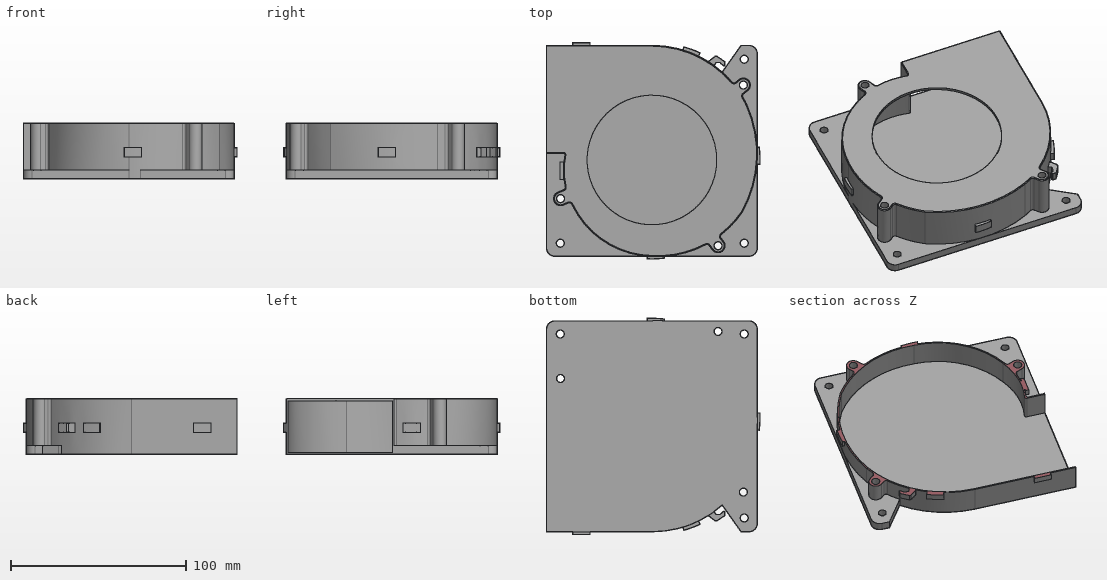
import cadquery as cq
import math


frame_size = 120.5
half_frame = frame_size / 2
height = 32.0
plate_thickness = 5.0
corner_radius = 5.0

side_wall = 1.1
roof_thickness = 1.5
floor_thickness = 1.0
roof_edge_chamfer = 0.5
notch_fillet = 1.0
duct_bottom_y = -1.4

inlet_radius = 37.0
inlet_y = -5.2

spiral_radius = {
    30: 62.7,
    0: 60.15,
    -30: 59.6,
    -60: 57.1,
    -90: half_frame + inlet_y,
    -120: 54.0,
    -150: 52.3,
    -173: 50.9,
}
notch_x = -49.4

mount_pitch = 105.0
mount_centre = (0.2, -0.2)
hole_diameter = 4.4
boss_radius = 4.0
boss_fillet = 1.5
neck_edge_tolerance = 0.05
neck_edge_reach = 3 * boss_radius
boss_centres = [(52.2, 37.55), (-52.15, -27.3), (37.75, -54.15)]

ear_top_x = 50.9
ear_side_point = (41.6, 47.1)
ear_root_point = (40.1, 45.0)

clip_length = 10.0
clip_height = 5.2
clip_bottom = 12.6
clip_root_depth = 2.2
top_clip_x = -40.3
top_clip_protrusion = 1.52
notch_clip_y = -11.4
notch_clip_reach = 52.6
right_clip_reach = 61.79
bottom_clip_reach = 61.77
scroll_clips = [
    (70.0, 67.1),
    (2.3, right_clip_reach),
    (-87.7, bottom_clip_reach + inlet_y),
]
hook_outline = [
    (32.2, 51.0),
    (36.1, 54.0),
    (37.1, 54.0),
    (41.7, 50.9),
    (41.7, 48.8),
    (41.1, 48.3),
    (38.8, 50.3),
    (36.6, 50.3),
    (35.5, 48.5),
    (34.5, 48.5),
]


def inlet_polar(radius, angle):
    """Point at a radius and angle (degrees) about the inlet centre."""
    turn = math.radians(angle)
    return (radius * math.cos(turn), inlet_y + radius * math.sin(turn))


def spiral_point(angle):
    """Point on the outer spiral at one of its listed angles."""
    return inlet_polar(spiral_radius[angle], angle)


def scroll_outline():
    """Outer outline of the duct and spiral, without the screw bosses."""
    join = spiral_point(30)
    half_turn = math.atan2(join[0], join[1]) / 2
    top_arc_middle = (half_frame * math.sin(half_turn), half_frame * math.cos(half_turn))
    return (
        cq.Workplane("XY")
        .moveTo(-half_frame, duct_bottom_y)
        .lineTo(-half_frame, half_frame)
        .lineTo(0, half_frame)
        .threePointArc(top_arc_middle, join)
        .threePointArc(spiral_point(0), spiral_point(-30))
        .threePointArc(spiral_point(-60), spiral_point(-90))
        .threePointArc(spiral_point(-120), spiral_point(-150))
        .threePointArc(spiral_point(-173), (notch_x, duct_bottom_y))
        .close()
    )


def boss(centre):
    """Round screw boss with a neck of the same width running in toward the inlet centre."""
    x, y = centre
    distance = math.hypot(x, y - inlet_y)
    neck_length = distance - inlet_radius - boss_radius
    toward_inlet = math.degrees(math.atan2(inlet_y - y, -x))
    neck = (
        cq.Workplane("XY")
        .rect(neck_length, 2 * boss_radius)
        .extrude(height)
        .translate((neck_length / 2, 0, 0))
    )
    post = cq.Workplane("XY").circle(boss_radius).extrude(height)
    return post.union(neck).rotate((0, 0, 0), (0, 0, 1), toward_inlet).translate((x, y, 0))


def boss_root_edges(body):
    """Vertical edges where the boss necks run into the scroll wall."""
    def is_root(edge):
        point = edge.Center()
        for x, y in boss_centres:
            along = math.hypot(x, y - inlet_y)
            ux, uy = x / along, (y - inlet_y) / along
            side = abs((point.x - x) * uy - (point.y - y) * ux)
            inward = (x - point.x) * ux + (y - point.y) * uy
            on_flank = abs(side - boss_radius) < neck_edge_tolerance
            if on_flank and neck_edge_tolerance < inward < neck_edge_reach:
                return True
        return False

    return body.edges("|Z").filter(is_root)


def solid_scroll():
    """Scroll and bosses as one block, with filleted corners and a chamfered roof edge."""
    block = scroll_outline().extrude(height)
    for centre in boss_centres:
        block = block.union(boss(centre))
    block = boss_root_edges(block).fillet(boss_fillet)
    notch_corner = (notch_x, duct_bottom_y, height / 2)
    nearest_notch = cq.selectors.NearestToPointSelector(notch_corner)
    block = block.edges("|Z").edges(nearest_notch).fillet(notch_fillet)
    return block.faces(">Z").edges("not(<X)").chamfer(roof_edge_chamfer)


def mounting_plate():
    """Square base plate, without the corner under the duct and trimmed to an ear beside the hook."""
    plate = (
        cq.Workplane("XY")
        .polyline([
            (-half_frame, -half_frame),
            (half_frame, -half_frame),
            (half_frame, half_frame),
            (ear_top_x, half_frame),
            ear_side_point,
            ear_root_point,
            (0, 0),
            (-half_frame, 0),
        ])
        .close()
        .extrude(plate_thickness)
    )
    lower_left = cq.selectors.NearestToPointSelector((-half_frame, -half_frame, plate_thickness / 2))
    plate = plate.edges("|Z and >X").fillet(corner_radius)
    return plate.edges("|Z").edges(lower_left).fillet(corner_radius)


def air_passage():
    """Inside of the scroll and duct, open at the duct end, plus the round inlet."""
    depth = height - floor_thickness - roof_thickness
    inside = scroll_outline().offset2D(-side_wall).extrude(depth)
    duct_end = (
        cq.Workplane("XY")
        .box(2 * side_wall, half_frame - duct_bottom_y - 2 * side_wall, depth, centered=False)
        .translate((-half_frame, duct_bottom_y + side_wall, 0))
    )
    inlet = cq.Workplane("XY").center(0, inlet_y).circle(inlet_radius).extrude(height - floor_thickness)
    return inside.union(duct_end).union(inlet).translate((0, 0, floor_thickness))


def scroll_clip(middle_angle, outer_radius):
    """Curved tab on the scroll wall."""
    half_angle = math.degrees(clip_length / 2 / outer_radius)
    start = middle_angle - half_angle
    end = middle_angle + half_angle
    inner_radius = outer_radius - clip_root_depth
    return (
        cq.Workplane("XY", origin=(0, 0, clip_bottom))
        .moveTo(*inlet_polar(inner_radius, start))
        .lineTo(*inlet_polar(outer_radius, start))
        .threePointArc(inlet_polar(outer_radius, middle_angle), inlet_polar(outer_radius, end))
        .lineTo(*inlet_polar(inner_radius, end))
        .close()
        .extrude(clip_height)
    )


def clips():
    """All cable clips: straight tabs on the duct and in the notch, curved tabs and the hook."""
    top_clip = (
        cq.Workplane("XY", origin=(top_clip_x, half_frame, clip_bottom))
        .rect(clip_length, 2 * top_clip_protrusion)
        .extrude(clip_height)
    )
    notch_clip = (
        cq.Workplane("XY", origin=(clip_root_depth / 2 - notch_clip_reach, notch_clip_y, clip_bottom))
        .rect(clip_root_depth, clip_length)
        .extrude(clip_height)
    )
    hook = (
        cq.Workplane("XY", origin=(0, 0, clip_bottom))
        .polyline(hook_outline)
        .close()
        .extrude(clip_height)
    )
    tabs = top_clip.union(notch_clip).union(hook)
    for middle_angle, outer_radius in scroll_clips:
        tabs = tabs.union(scroll_clip(middle_angle, outer_radius))
    return tabs


def screw_holes():
    """Through holes in the plate corners and the screw bosses."""
    half_pitch = mount_pitch / 2
    corners = [(1, 1), (1, -1), (-1, -1)]
    mount_centres = [
        (mount_centre[0] + half_pitch * right, mount_centre[1] + half_pitch * back)
        for right, back in corners
    ]
    return (
        cq.Workplane("XY")
        .pushPoints(mount_centres + boss_centres)
        .circle(hole_diameter / 2)
        .extrude(height)
    )


housing = solid_scroll().union(mounting_plate()).union(clips())
result = housing.cut(air_passage()).cut(screw_holes())